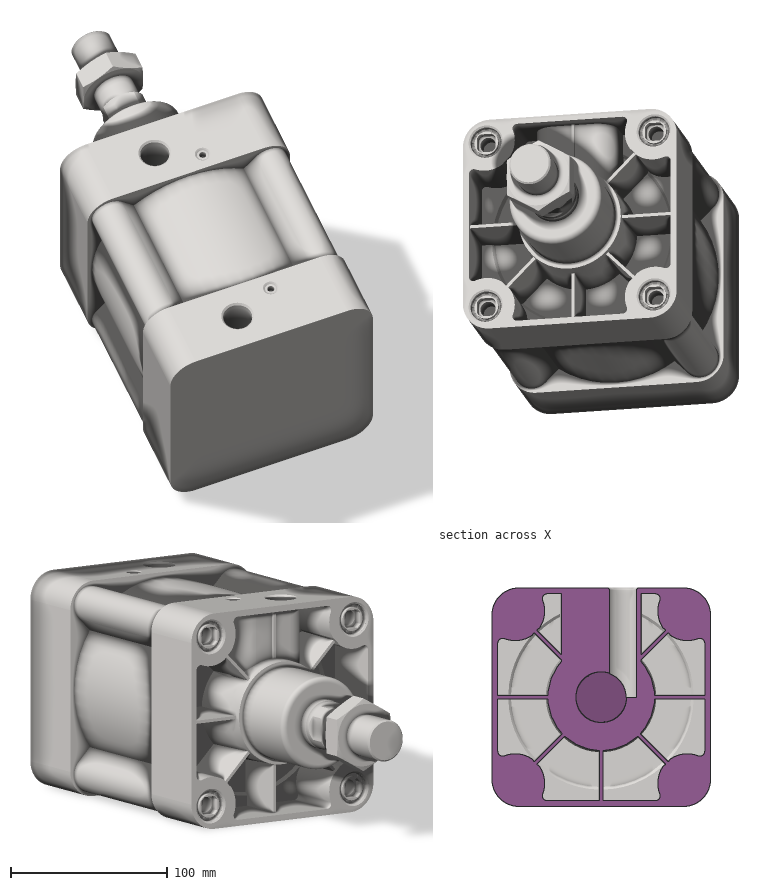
import cadquery as cq
import math


head_width = 140.0
head_length = 46.0
head_corner_radius = 17.5
body_length = 185.0
rear_head_start = body_length - head_length

bolt_offset = 55.0
barrel_radius = 66.8
tube_radius = 12.0
tube_count = 4

collar_diameter = 60.0
collar_length = 45.5
collar_fillet = 3.3

pocket_width = 132.0
pocket_depth = 38.0
bolt_boss_radius = 19.0
pocket_fillet = 3.0
pocket_ring_top_diameter = 118.5
pocket_ring_floor_diameter = 115.0
pocket_ring_depth = 2.0
hub_front_diameter = 66.8
hub_base_diameter = 70.6
rib_recess = 3.0
upright_rib_recess = 9.0
rib_front_width = 2.0
rib_base_width = 3.4
rib_count = 8

seat_top_diameter = 22.5
seat_diameter = 20.2
seat_chamfer = 0.8
seat_depth = 4.0
notch_count = 12
notch_width = 2.7
notch_depth = 0.4
bolt_head_diameter = 15.4
bolt_head_recess = 1.6
socket_width = 12.0
socket_corner_diameter = 14.0
socket_depth = 5.0
bolt_bore_diameter = 10.0
bolt_bore_depth = 10.0

port_setback = 23.0
port_offset = -14.0
port_diameter = 18.63
port_mouth_diameter = 20.955
port_wall_front = 10.5
port_wall_width = 52.6
port_wall_radius = 13.1
screw_setback = 35.4
screw_offset = 14.0
screw_hole_diameter = 10.0
screw_hole_depth = 1.0
screw_cone_diameter = 7.6
screw_bore_diameter = 4.5
screw_bore_depth = 6.0

rod_tip = -119.0
rod_diameter = 32.0
rod_neck_diameter = 31.0
thread_diameter = 27.0
thread_length = 53.2
tip_chamfer = 1.0
flats_width = 27.0
flats_length = 10.5
neck_bevel = 1.2
neck_end = -50.6
shoulder_length = 0.9
runout_taper = -45
bore_end = body_length - 24.0
nut_width = 41.0
nut_thickness = 14.0
nut_start = rod_tip + 24.8
nut_end = nut_start + nut_thickness
nut_corner_diameter = nut_width / math.cos(math.radians(30))
nut_face_diameter = 40.5
nut_bevel = 1.2

bolt_places = [(y, z) for y in (-bolt_offset, bolt_offset) for z in (-bolt_offset, bolt_offset)]


def cylinder(diameter, start, end):
    """A cylinder on the main axis from X = start to X = end."""
    return cq.Workplane("YZ").workplane(offset=start).circle(diameter / 2).extrude(end - start)


def cone(start_diameter, end_diameter, start, length):
    """A cone frustum on the main axis, growing towards +X from X = start."""
    base = cq.Vector(start, 0, 0)
    along_x = cq.Vector(1, 0, 0)
    return cq.Workplane(cq.Solid.makeCone(start_diameter / 2, end_diameter / 2, length, base, along_x))


def block(width, start, end):
    """A square bar on the main axis from X = start to X = end."""
    return cq.Workplane("YZ").workplane(offset=start).rect(width, width).extrude(end - start)


def make_head(start):
    return block(head_width, start, start + head_length).edges("|X").fillet(head_corner_radius)


def make_barrel():
    """Round barrel with a tie rod tube at each corner, joined by a web as wide as the tube."""
    length = rear_head_start - head_length
    barrel = cylinder(2 * barrel_radius, head_length, rear_head_start)
    reach = math.hypot(bolt_offset, bolt_offset)
    plane = cq.Workplane("YZ").workplane(offset=head_length)
    tube = plane.center(reach, 0).circle(tube_radius).extrude(length)
    web = (
        cq.Workplane("YZ")
        .workplane(offset=head_length)
        .center(reach / 2, 0)
        .rect(reach, 2 * tube_radius)
        .extrude(length)
    )
    arm = tube.union(web)
    for index in range(tube_count):
        angle = 45 + 360 / tube_count * index
        barrel = barrel.union(arm.rotate((0, 0, 0), (1, 0, 0), angle))
    return barrel


def make_rib(angle, recess):
    """A radial rib that gets thicker towards the pocket floor."""
    base = pocket_depth + pocket_ring_depth
    return (
        cq.Workplane("XY")
        .polyline(
            [
                (recess, -rib_front_width / 2),
                (recess, rib_front_width / 2),
                (base, rib_base_width / 2),
                (base, -rib_base_width / 2),
            ]
        )
        .close()
        .extrude(head_width / 2)
        .rotate((0, 0, 0), (1, 0, 0), angle)
    )


def make_port_wall():
    """The rounded wall that stands around the port and the cushion screw inside the pocket."""
    wall_length = head_length - port_wall_front
    return (
        cq.Workplane("XY")
        .center(port_wall_front + wall_length / 2, 0)
        .rect(wall_length, port_wall_width)
        .extrude(head_width / 2)
        .edges("|Z and <X")
        .fillet(port_wall_radius)
    )


def make_pocket():
    """The hollow of the front head, without the hub, the ribs, the bolt bosses and the port wall."""
    bosses = cq.Workplane("YZ").pushPoints(bolt_places).circle(bolt_boss_radius).extrude(pocket_depth)
    pocket = block(pocket_width, 0, pocket_depth).cut(bosses)
    pocket = pocket.edges("|X").fillet(pocket_fillet)
    ring_base = pocket_depth + pocket_ring_depth
    pocket = pocket.union(cylinder(pocket_ring_top_diameter, 0, pocket_depth))
    pocket = pocket.union(
        cone(pocket_ring_top_diameter, pocket_ring_floor_diameter, pocket_depth, pocket_ring_depth)
    )
    pocket = pocket.cut(cone(hub_front_diameter, hub_base_diameter, 0, ring_base))
    for index in range(rib_count):
        angle = 360 / rib_count * index
        recess = upright_rib_recess if angle % 180 == 0 else rib_recess
        pocket = pocket.cut(make_rib(angle, recess))
    return pocket.cut(make_port_wall())


def cut_bolt_seats(body):
    """Counterbores with a notched floor around bolt heads that have a square socket and a bore."""
    seats = cq.Workplane("YZ").pushPoints(bolt_places).circle(seat_diameter / 2).extrude(seat_depth)
    bolt_heads = (
        cq.Workplane("YZ")
        .workplane(offset=bolt_head_recess)
        .pushPoints(bolt_places)
        .circle(bolt_head_diameter / 2)
        .extrude(seat_depth)
    )
    notches = (
        cq.Workplane("YZ")
        .polarArray((bolt_head_diameter + seat_diameter) / 4, 0, 360, notch_count)
        .rect((seat_diameter - bolt_head_diameter) / 2, notch_width)
        .extrude(seat_depth + notch_depth)
    )
    socket_end = bolt_head_recess + socket_depth
    socket_round = (
        cq.Workplane("YZ").pushPoints(bolt_places).circle(socket_corner_diameter / 2).extrude(socket_end)
    )
    sockets = (
        cq.Workplane("YZ")
        .pushPoints(bolt_places)
        .rect(socket_width, socket_width)
        .extrude(socket_end)
        .intersect(socket_round)
    )
    bores = (
        cq.Workplane("YZ")
        .pushPoints(bolt_places)
        .circle(bolt_bore_diameter / 2)
        .extrude(socket_end + bolt_bore_depth)
    )
    body = body.cut(seats.cut(bolt_heads)).cut(sockets).cut(bores)
    for y, z in bolt_places:
        body = body.cut(notches.translate((0, y, z)))
        clearance = cylinder(bolt_head_diameter, 0, bolt_head_recess).translate((0, y, z))
        mouth = cone(seat_top_diameter, seat_diameter, 0, seat_chamfer).translate((0, y, z))
        body = body.cut(mouth).cut(clearance)
    return body


def cut_top_holes(body, port_x, screw_x):
    """An air port down to the main axis and a cushion screw hole beside it."""
    top = head_width / 2
    down = cq.Vector(0, 0, -1)
    port_top = cq.Vector(port_x, port_offset, top)
    screw_top = cq.Vector(screw_x, screw_offset, top)
    port_chamfer = (port_mouth_diameter - port_diameter) / 2
    cutters = [
        cq.Solid.makeCylinder(port_diameter / 2, top, port_top, down),
        cq.Solid.makeCone(port_mouth_diameter / 2, port_diameter / 2, port_chamfer, port_top, down),
        cq.Solid.makeCone(
            screw_hole_diameter / 2, screw_cone_diameter / 2, screw_hole_depth, screw_top, down
        ),
        cq.Solid.makeCylinder(screw_bore_diameter / 2, screw_bore_depth, screw_top, down),
    ]
    for cutter in cutters:
        body = body.cut(cq.Workplane(cutter))
    return body


def make_housing():
    """Both heads, the barrel and the bearing collar, bored for the rod."""
    body = make_head(0).cut(make_pocket())
    body = body.union(make_barrel()).union(make_head(rear_head_start))
    collar = cylinder(collar_diameter, -collar_length, head_length)
    body = body.union(collar.faces("<X").edges().fillet(collar_fillet))
    body = cut_bolt_seats(body)
    for port_x, screw_x in [
        (port_setback, screw_setback),
        (body_length - port_setback, body_length - screw_setback),
    ]:
        body = cut_top_holes(body, port_x, screw_x)
    return body.cut(cylinder(rod_diameter, -collar_length, bore_end))


def make_nut():
    """Hexagon nut with bevelled corners on both faces and two corners on the Z axis."""
    nut = (
        cq.Workplane("YZ")
        .workplane(offset=nut_start)
        .polygon(6, nut_corner_diameter)
        .extrude(nut_thickness)
        .rotate((0, 0, 0), (1, 0, 0), 30)
    )
    front_bevel = cone(nut_face_diameter, nut_corner_diameter, nut_start, nut_bevel)
    middle = cylinder(nut_corner_diameter, nut_start + nut_bevel, nut_end - nut_bevel)
    rear_bevel = cone(nut_corner_diameter, nut_face_diameter, nut_end - nut_bevel, nut_bevel)
    return nut.intersect(front_bevel.union(middle).union(rear_bevel))


def make_rod():
    """Piston rod with its thread, four wrench flats and the nut."""
    flats_start = rod_tip + thread_length
    flats_end = flats_start + flats_length
    rod = cylinder(thread_diameter, rod_tip, flats_start).faces("<X").chamfer(tip_chamfer)
    neck = cone(thread_diameter, rod_neck_diameter, flats_start, neck_bevel)
    neck = neck.union(cylinder(rod_neck_diameter, flats_start + neck_bevel, neck_end))
    runout = (
        cq.Workplane("YZ")
        .workplane(offset=flats_end)
        .rect(flats_width, flats_width)
        .extrude(neck_end - flats_end, taper=runout_taper)
    )
    neck = neck.intersect(block(flats_width, flats_start, flats_end).union(runout))
    rod = rod.union(neck).union(cone(rod_neck_diameter, rod_diameter, neck_end, shoulder_length))
    rod = rod.union(cylinder(rod_diameter, neck_end + shoulder_length, rear_head_start))
    return rod.union(make_nut())


housing = make_housing()
rod = make_rod()
result = cq.Compound.makeCompound([housing.val(), rod.val()])